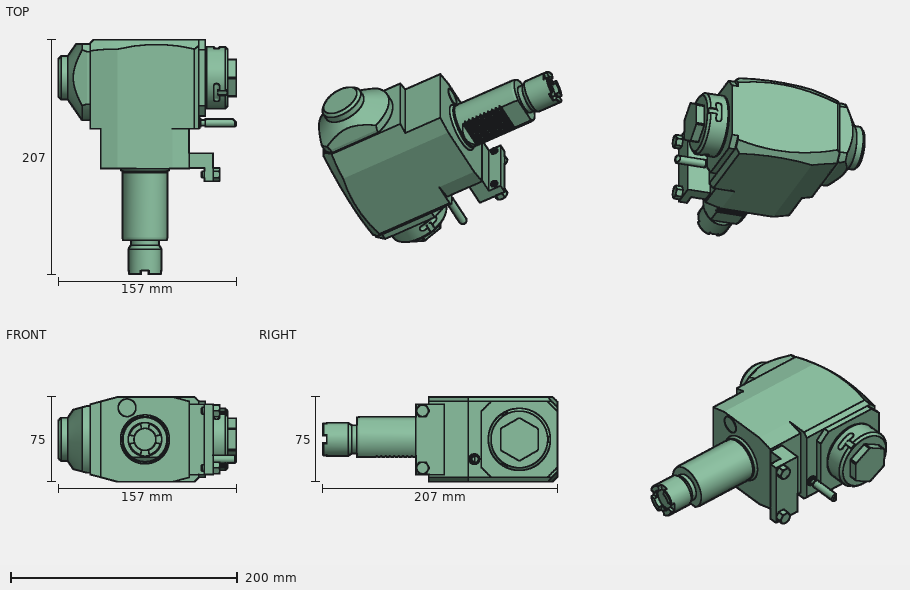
import cadquery as cq
import math


HALF_H = 37.5
BACK_Y = 113.75
STEP_Y = 35.0
FOOT_HALF_W = 39.0
BODY_LEFT_X = -48.25
BODY_RIGHT_X = 47.6
SLOPE_START_X = 24.1
SLOPE = math.tan(math.radians(15))
RIGHT_CHAMFER = 4.0
LEFT_REAR_CHAMFER = 3.0
CROWN_X = 10.0
CROWN_R = 140.0
CROWN_EDGE_Y = 109.4
PLUG_X, PLUG_Z, PLUG_R = -15.8, 27.9, 7.8
PLUG_DEPTH = 0.4

SPINDLE_Y = 80.0
KNOB_R, KNOB_LEFT_X, KNOB_CHAMFER = 19.25, -76.5, 2.5
DOME_TIP_X = -68.1
DOME_RIM_X, DOME_RIM_R = -55.5, 37.5
DOME_HALF_H, DOME_BACK_Y, DOME_CHAMFER = 29.5, 109.9, 6.0
DOME_TAPER_X = -51.3

PLATE_RIGHT_X = 53.25
PLATE_HALF_Y = BACK_Y - SPINDLE_Y
PLATE_HALF_Z = HALF_H - RIGHT_CHAMFER
PLATE_CHAMFER = 9.0
NUT_R, NUT_END_X, NUT_CHAMFER = 27.4, 73.1, 2.4
NUT_NECK_R, NUT_NECK_L = 26.5, 1.2
SLOT_X, SLOT_CUTTER_R, SLOT_DEPTH, SLOT_SPAN = 63.2, 2.8, 1.8, 40.0
SLOT_ANGLES = (-90, 30, 150)
KEYWAY_W, KEYWAY_DEPTH = 5.0, 1.7
HEX_AF, HEX_TURNED_R, HEX_END_X = 33.0, 18.7, 80.5

PIN_Y, PIN_Z, PIN_R, PIN_CHAMFER = 40.3, -17.4, 3.5, 1.2
PIN_BEVEL = 3.2
PIN_FLANGE_R, PIN_FLANGE_L = 4.6, 0.7
PIN_NECK_R, PIN_NECK_START_X, PIN_NECK_END_X = 2.6, 49.3, 53.2

BRACKET_HALF_H = 31.0
BRACKET_END_X, BRACKET_LEG_T = 60.0, 7.6
BRACKET_TOP_Y, BRACKET_STEP_Y, BRACKET_FOOT_Y = 13.6, 0.4, -11.3
SCREW_Y, SCREW_Z, SCREW_R = -5.35, 25.2, 3.0
SCREW_TIP_X, SCREW_TIP_CHAMFER = 49.6, 1.1
HEAD_AF, HEAD_L = 10.3, 6.1

SHANK_R, SHANK_END_Y = 20.0, -63.3
RING_R, RING_L, RING_EDGE = 21.6, 2.3, 1.9
RELIEF_R, RELIEF_END_Y = 19.6, -3.8
SHANK_CHAMFER_R, SHANK_CHAMFER_L = 0.6, 2.5
RACK_Z = -15.7
RACK_START_Y = -8.5
TOOTH_PITCH, TOOTH_COUNT, TOOTH_DEPTH, TOOTH_FIRST_Y = 3.85, 10, 1.1, -11.0
NECK_R, NECK_END_Y = 12.55, -67.6
COUPLING_R, COUPLING_START_Y, COUPLING_END_Y = 14.75, -71.0, -93.25
COUPLING_CHAMFER = 0.6
BORE_R, BORE_DEPTH = 9.7, 4.5
DOG_DEPTH, DOG_OUTER_W, DOG_INNER_W = 3.3, 8.1, 6.2
DOG_COUNT = 4

OVERLAP = 1.0


def box(x0, x1, y0, y1, z0, z1):
    block = cq.Workplane("XY").box(x1 - x0, y1 - y0, z1 - z0, centered=False)
    return block.translate((x0, y0, z0))


def rod_x(radius, x0, x1, y, z):
    return cq.Workplane("YZ", origin=(x0, y, z)).circle(radius).extrude(x1 - x0)


def turned_x(profile, y, z):
    """Revolve (x, radius) points about an axis parallel to X."""
    return (
        cq.Workplane("XY").polyline(profile).close()
        .revolve(360, (0, 0, 0), (1, 0, 0)).translate((0, y, z))
    )


def turned_y(profile):
    """Revolve (radius, y) points about the Y axis."""
    return cq.Workplane("XY").polyline(profile).close().revolve(360, (0, 0, 0), (0, 1, 0))


def hexagon_x(across_flats, x0, x1, y, z, turn):
    corner_d = across_flats / math.cos(math.pi / 6)
    blank = cq.Workplane("YZ").polygon(6, corner_d).extrude(x1 - x0)
    return blank.rotate((0, 0, 0), (1, 0, 0), turn).translate((x0, y, z))


def mirrored_prism(upper_outline, y0, y1):
    """Extrude along Y an XZ outline given by its upper half."""
    lower_outline = [(x, -z) for x, z in reversed(upper_outline)]
    outline = cq.Workplane("XZ", origin=(0, y1, 0)).polyline(upper_outline + lower_outline).close()
    return outline.extrude(y1 - y0)


def flank_z(x):
    return HALF_H - SLOPE * (abs(x) - SLOPE_START_X)


def crown():
    """Double cone about a Z axis that bevels the rear edges at 45 degrees."""
    profile = [(0, -HALF_H), (CROWN_R, -HALF_H), (CROWN_R + HALF_H, 0), (CROWN_R, HALF_H), (0, HALF_H)]
    cone = cq.Workplane("XZ").polyline(profile).close().revolve(360, (0, 0, 0), (0, 1, 0))
    return cone.translate((CROWN_X, CROWN_EDGE_Y - CROWN_R, 0))


def housing():
    head = mirrored_prism(
        [
            (BODY_LEFT_X, flank_z(BODY_LEFT_X)),
            (-SLOPE_START_X, HALF_H),
            (BODY_RIGHT_X - RIGHT_CHAMFER, HALF_H),
            (BODY_RIGHT_X, HALF_H - RIGHT_CHAMFER),
        ],
        STEP_Y, BACK_Y,
    )
    head = head.faces("<X").edges(">Y").chamfer(LEFT_REAR_CHAMFER).intersect(crown())
    foot = mirrored_prism(
        [
            (-FOOT_HALF_W, flank_z(FOOT_HALF_W)),
            (-SLOPE_START_X, HALF_H),
            (SLOPE_START_X, HALF_H),
            (FOOT_HALF_W, flank_z(FOOT_HALF_W)),
        ],
        0, STEP_Y,
    )
    plug_recess = (
        cq.Workplane("XZ", origin=(PLUG_X, PLUG_DEPTH, PLUG_Z))
        .circle(PLUG_R).extrude(PLUG_DEPTH)
    )
    return head.union(foot).cut(plug_recess)


def dome():
    cone = turned_x(
        [
            (DOME_TIP_X, 0), (DOME_TIP_X, KNOB_R), (DOME_RIM_X, DOME_RIM_R),
            (BODY_LEFT_X + OVERLAP, DOME_RIM_R), (BODY_LEFT_X + OVERLAP, 0),
        ],
        SPINDLE_Y, 0,
    )
    front_y = SPINDLE_Y - DOME_RIM_R - OVERLAP
    tip_z = DOME_HALF_H - SLOPE * (DOME_TAPER_X - DOME_TIP_X)
    flats = mirrored_prism(
        [(DOME_TIP_X, tip_z), (DOME_TAPER_X, DOME_HALF_H), (BODY_LEFT_X + OVERLAP, DOME_HALF_H)],
        front_y, DOME_BACK_Y,
    )
    bevel_z = DOME_HALF_H - DOME_CHAMFER
    bevel_y = DOME_BACK_Y - DOME_CHAMFER
    bevels = (
        cq.Workplane("YZ", origin=(DOME_TIP_X, 0, 0))
        .polyline([
            (front_y, -DOME_HALF_H), (bevel_y, -DOME_HALF_H), (DOME_BACK_Y, -bevel_z),
            (DOME_BACK_Y, bevel_z), (bevel_y, DOME_HALF_H), (front_y, DOME_HALF_H),
        ])
        .close().extrude(BODY_LEFT_X + OVERLAP - DOME_TIP_X)
    )
    knob = rod_x(KNOB_R, KNOB_LEFT_X, DOME_TIP_X + OVERLAP, SPINDLE_Y, 0)
    knob = knob.faces("<X").chamfer(KNOB_CHAMFER)
    return cone.intersect(flats).intersect(bevels).union(knob)


def spindle_plate():
    plate = box(
        BODY_RIGHT_X - OVERLAP, PLATE_RIGHT_X,
        SPINDLE_Y - PLATE_HALF_Y, SPINDLE_Y + PLATE_HALF_Y, -PLATE_HALF_Z, PLATE_HALF_Z,
    )
    return plate.edges("|X").chamfer(PLATE_CHAMFER)


def around_spindle(shape, angle):
    """Turn a shape about X from the +Z direction towards -Y, then move it onto the spindle axis."""
    return shape.rotate((0, 0, 0), (1, 0, 0), angle).translate((0, SPINDLE_Y, 0))


def spanner_slot():
    """Round-bottomed slot along the nut rim, with a keyway from its middle to the nut face."""
    center_r = NUT_R - SLOT_DEPTH + SLOT_CUTTER_R
    half_sweep = SLOT_SPAN / 2 - math.degrees(SLOT_CUTTER_R / NUT_R)
    slot = (
        cq.Workplane("XZ").center(SLOT_X, center_r).circle(SLOT_CUTTER_R)
        .revolve(2 * half_sweep, (0, -center_r, 0), (-1, -center_r, 0))
        .rotate((0, 0, 0), (1, 0, 0), half_sweep)
    )
    for end_angle in (-half_sweep, half_sweep):
        ball = cq.Workplane("XY").sphere(SLOT_CUTTER_R).translate((SLOT_X, 0, center_r))
        slot = slot.union(ball.rotate((0, 0, 0), (1, 0, 0), end_angle))
    keyway = box(
        SLOT_X, NUT_END_X, -KEYWAY_W / 2, KEYWAY_W / 2, NUT_R - KEYWAY_DEPTH, NUT_R + OVERLAP,
    )
    return slot.union(keyway)


def spindle_nut():
    nut = turned_x(
        [
            (PLATE_RIGHT_X - OVERLAP, 0), (PLATE_RIGHT_X - OVERLAP, NUT_NECK_R),
            (PLATE_RIGHT_X + NUT_NECK_L, NUT_NECK_R), (PLATE_RIGHT_X + NUT_NECK_L, NUT_R),
            (NUT_END_X - NUT_CHAMFER, NUT_R), (NUT_END_X, NUT_R - NUT_CHAMFER), (NUT_END_X, 0),
        ],
        SPINDLE_Y, 0,
    )
    for angle in SLOT_ANGLES:
        nut = nut.cut(around_spindle(spanner_slot(), angle))
    hexagon = hexagon_x(HEX_AF, NUT_END_X - OVERLAP, HEX_END_X, SPINDLE_Y, 0, 90)
    hexagon = hexagon.intersect(rod_x(HEX_TURNED_R, NUT_END_X - OVERLAP, HEX_END_X, SPINDLE_Y, 0))
    return nut.union(hexagon)


def locating_pin():
    flange_x = BODY_RIGHT_X + PIN_FLANGE_L
    pin = turned_x(
        [
            (BODY_RIGHT_X - OVERLAP, 0), (BODY_RIGHT_X - OVERLAP, PIN_FLANGE_R), (flange_x, PIN_FLANGE_R),
            (flange_x, PIN_R),
            (PIN_NECK_START_X, PIN_R), (PIN_NECK_START_X, PIN_NECK_R),
            (PIN_NECK_END_X, PIN_NECK_R), (PIN_NECK_END_X, PIN_R),
            (HEX_END_X - PIN_CHAMFER, PIN_R), (HEX_END_X, PIN_R - PIN_CHAMFER), (HEX_END_X, 0),
        ],
        PIN_Y, PIN_Z,
    )
    side_y = PIN_Y + PIN_R
    bevel = (
        cq.Workplane("XY", origin=(0, 0, PIN_Z - PIN_R))
        .polyline([(HEX_END_X, side_y), (HEX_END_X - PIN_BEVEL, side_y), (HEX_END_X, side_y - PIN_BEVEL)])
        .close().extrude(2 * PIN_R)
    )
    return pin.cut(bevel)


def bracket_screw(z):
    tip = rod_x(SCREW_R, SCREW_TIP_X, BRACKET_END_X, SCREW_Y, z).faces("<X").chamfer(SCREW_TIP_CHAMFER)
    head_end_x = BRACKET_END_X + HEAD_L
    head = hexagon_x(HEAD_AF, BRACKET_END_X - OVERLAP, head_end_x, SCREW_Y, z, 0)
    corner_r = HEAD_AF / 2 / math.cos(math.pi / 6)
    turned = rod_x(corner_r, BRACKET_END_X - OVERLAP, head_end_x, SCREW_Y, z)
    turned = turned.faces(">X").chamfer(corner_r - HEAD_AF / 2)
    return tip.union(head.intersect(turned))


def bracket():
    arm = box(
        FOOT_HALF_W - OVERLAP, BRACKET_END_X, BRACKET_STEP_Y, BRACKET_TOP_Y, -BRACKET_HALF_H, BRACKET_HALF_H,
    )
    leg = box(
        BRACKET_END_X - BRACKET_LEG_T, BRACKET_END_X,
        BRACKET_FOOT_Y, BRACKET_TOP_Y, -BRACKET_HALF_H, BRACKET_HALF_H,
    )
    body = arm.union(leg)
    for z in (-SCREW_Z, SCREW_Z):
        body = body.union(bracket_screw(z))
    return body


def shank():
    ring = cq.Workplane("XZ", origin=(0, OVERLAP, 0)).circle(RING_R).extrude(OVERLAP + RING_L)
    ring = ring.faces("<Y").edges().fillet(RING_EDGE)
    body = turned_y([
        (0, OVERLAP), (RELIEF_R, OVERLAP), (RELIEF_R, RELIEF_END_Y), (SHANK_R, RELIEF_END_Y),
        (SHANK_R, SHANK_END_Y + SHANK_CHAMFER_L), (SHANK_R - SHANK_CHAMFER_R, SHANK_END_Y), (0, SHANK_END_Y),
    ])
    ramp = SHANK_R + RACK_Z
    rack_flat = (
        cq.Workplane("YZ", origin=(-SHANK_R, 0, 0))
        .polyline([
            (RACK_START_Y, RACK_Z), (RACK_START_Y + ramp, RACK_Z - ramp),
            (SHANK_END_Y - OVERLAP, RACK_Z - ramp), (SHANK_END_Y - OVERLAP, RACK_Z),
        ])
        .close().extrude(2 * SHANK_R)
    )
    body = body.cut(rack_flat)
    for i in range(TOOTH_COUNT):
        y = TOOTH_FIRST_Y - i * TOOTH_PITCH
        groove = (
            cq.Workplane("YZ", origin=(-SHANK_R, 0, 0))
            .polyline([(y - TOOTH_DEPTH, RACK_Z), (y, RACK_Z + TOOTH_DEPTH), (y + TOOTH_DEPTH, RACK_Z)])
            .close().extrude(2 * SHANK_R)
        )
        body = body.cut(groove)
    return ring.union(body)


def coupling():
    body = turned_y([
        (0, SHANK_END_Y + OVERLAP), (NECK_R, SHANK_END_Y + OVERLAP), (NECK_R, NECK_END_Y),
        (COUPLING_R, COUPLING_START_Y), (COUPLING_R, COUPLING_END_Y + COUPLING_CHAMFER),
        (COUPLING_R - COUPLING_CHAMFER, COUPLING_END_Y), (0, COUPLING_END_Y),
    ])
    bore = cq.Workplane("XZ", origin=(0, COUPLING_END_Y + BORE_DEPTH, 0)).circle(BORE_R).extrude(BORE_DEPTH)
    body = body.cut(bore)
    dog_slot = (
        cq.Workplane("XZ", origin=(0, COUPLING_END_Y + DOG_DEPTH, 0))
        .polyline([
            (0, -DOG_INNER_W / 2), (BORE_R, -DOG_INNER_W / 2), (COUPLING_R, -DOG_OUTER_W / 2),
            (COUPLING_R, DOG_OUTER_W / 2), (BORE_R, DOG_INNER_W / 2), (0, DOG_INNER_W / 2),
        ])
        .close().extrude(DOG_DEPTH)
    )
    for i in range(DOG_COUNT):
        body = body.cut(dog_slot.rotate((0, 0, 0), (0, 1, 0), 360 / DOG_COUNT * i))
    return body


result = housing()
for component in (dome, spindle_plate, spindle_nut, locating_pin, bracket, shank, coupling):
    result = result.union(component())